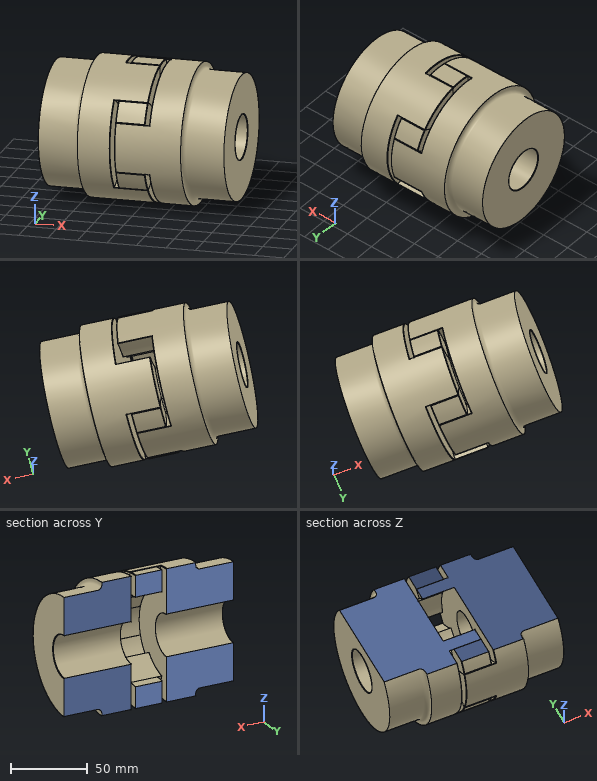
import cadquery as cq
import math

total_length = 126.0
hub_length = 50.0
flange_start = 28.0
outer_radius = 47.5
neck_radius = 42.5
neck_fillet = 3.0
bore_radius = 15.0
edge_chamfer = 0.4

claw_count = 3
end_gap = 3.0
claw_inner_radius = 31.6
pad_outer_half_width = 7.4
pad_inner_half_width = 6.2
pad_side_radius = 30.2
pad_count = 5

half_length = total_length / 2
pad_length = total_length - 2 * (hub_length + end_gap)
claw_end = hub_length + end_gap + pad_length
pad_pitch = 180 / claw_count
clear_distance = 2 * outer_radius

side_inner = (math.sqrt(claw_inner_radius**2 - pad_inner_half_width**2), pad_inner_half_width)
side_outer = (math.sqrt(outer_radius**2 - pad_outer_half_width**2), pad_outer_half_width)
side_run = side_outer[0] - side_inner[0]
side_rise = side_outer[1] - side_inner[1]
side_chord = math.hypot(side_run, side_rise)
side_bulge = pad_side_radius - math.sqrt(pad_side_radius**2 - (side_chord / 2)**2)
side_middle = (
    (side_inner[0] + side_outer[0]) / 2 - side_bulge * side_rise / side_chord,
    (side_inner[1] + side_outer[1]) / 2 + side_bulge * side_run / side_chord,
)


def mirrored(point):
    """Mirror a (Y, Z) point across the Y axis."""
    return (point[0], -point[1])


def turned(point, angle):
    """Turn a (Y, Z) point about the X axis by an angle in degrees."""
    cosine = math.cos(math.radians(angle))
    sine = math.sin(math.radians(angle))
    return (point[0] * cosine - point[1] * sine, point[0] * sine + point[1] * cosine)


def spun(body, angle):
    """Turn a body about the coupling axis."""
    return body.rotate((0, 0, 0), (1, 0, 0), angle)


def make_hub_blank():
    """Left hub turned about X: bored neck, filleted shoulder, flange and a full claw ring."""
    fillet_start = flange_start - neck_fillet
    shoulder_radius = neck_radius + neck_fillet
    fillet_offset = neck_fillet * math.sqrt(0.5)
    return (
        cq.Workplane("XZ", origin=(-half_length, 0, 0))
        .moveTo(edge_chamfer, bore_radius)
        .lineTo(0, bore_radius + edge_chamfer)
        .lineTo(0, neck_radius)
        .lineTo(fillet_start, neck_radius)
        .threePointArc(
            (fillet_start + fillet_offset, shoulder_radius - fillet_offset),
            (flange_start, shoulder_radius),
        )
        .lineTo(flange_start, outer_radius)
        .lineTo(claw_end, outer_radius)
        .lineTo(claw_end, claw_inner_radius)
        .lineTo(hub_length, claw_inner_radius)
        .lineTo(hub_length, bore_radius)
        .close()
        .revolve(360, (0, 0, 0), (1, 0, 0))
    )


def make_claw_opening():
    """Cutter for the space between two claws: room for two pads and the other hub's claw."""
    inner, middle, outer = [
        turned(point, pad_pitch / 2) for point in (side_inner, side_middle, side_outer)
    ]
    outside = turned((clear_distance, 0), pad_pitch / 2)
    return (
        cq.Workplane("YZ", origin=(hub_length - half_length, 0, 0))
        .moveTo(*inner)
        .threePointArc(middle, outer)
        .lineTo(*outside)
        .lineTo(*mirrored(outside))
        .lineTo(*mirrored(outer))
        .threePointArc(mirrored(middle), mirrored(inner))
        .close()
        .extrude(claw_end - hub_length)
    )


def make_left_hub():
    """Left hub with its claws, the outer rim of the claws lightly chamfered."""
    hub = make_hub_blank()
    opening = make_claw_opening()
    for index in range(claw_count):
        hub = hub.cut(spun(opening, (2 * index + 1) * pad_pitch))
    claw_rim = cq.selectors.BoxSelector(
        (hub_length - half_length - edge_chamfer, -clear_distance, -clear_distance),
        (half_length, clear_distance, clear_distance),
    )
    outer_face = hub.faces("%CYLINDER").faces(cq.selectors.AreaNthSelector(-1))
    return outer_face.edges(claw_rim).chamfer(edge_chamfer)


def make_pad(angle):
    """Elastic pad with bulging sides and a chamfered outer face, at an angle from +Y to +Z."""
    pad = (
        cq.Workplane("YZ", origin=(-pad_length / 2, 0, 0))
        .moveTo(*side_inner)
        .threePointArc(side_middle, side_outer)
        .threePointArc((outer_radius, 0), mirrored(side_outer))
        .threePointArc(mirrored(side_middle), mirrored(side_inner))
        .threePointArc((claw_inner_radius, 0), side_inner)
        .close()
        .extrude(pad_length)
    )
    pad = pad.faces(">Y").edges().chamfer(edge_chamfer)
    return spun(pad, angle)


left_hub = make_left_hub()
right_hub = left_hub.rotate((0, 0, 0), (0, 0, 1), 180)
pads = [make_pad((index + 0.5) * pad_pitch) for index in range(pad_count)]

result = cq.Compound.makeCompound(
    [left_hub.val(), right_hub.val(), *[pad.val() for pad in pads]]
)